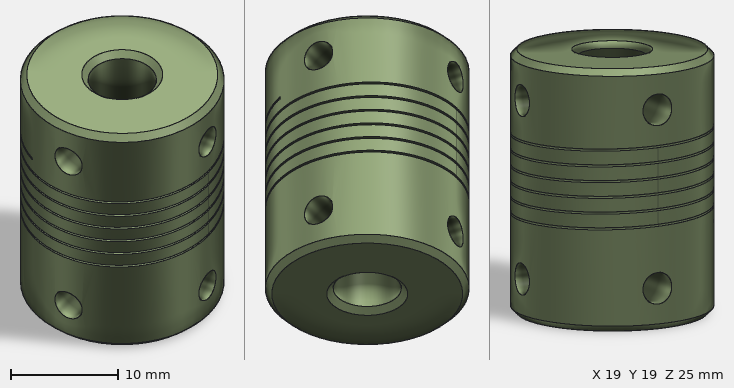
import cadquery as cq

length = 25.0
outer_diameter = 19.0
bore_diameter = 6.35
edge_chamfer = 0.6

screw_diameter = 3.0
screw_end_distance = 4.0
screw_directions = [(0, -1, 0), (1, 0, 0)]

slot_width = 0.2
slot_floor_diameter = 10.0
slot_pitch = 1.5
slot_turns = 6.5
slot_start_height = 8.75
slot_start_angle = 60.0
slot_overcut = 0.25


def make_body():
    """Tube with chamfered outer and bore edges at both ends."""
    tube = cq.Workplane("XY").circle(outer_diameter / 2).circle(bore_diameter / 2).extrude(length)
    return tube.faces("<Z or >Z").edges().chamfer(edge_chamfer)


def make_screw_hole(height, direction):
    """Radial cylinder from the axis out through one side of the wall."""
    return cq.Solid.makeCylinder(
        screw_diameter / 2, outer_diameter, cq.Vector(0, 0, height), cq.Vector(*direction)
    )


def make_helical_slot():
    """Rectangular section swept along a helix, with a cylindrical floor."""
    floor_radius = slot_floor_diameter / 2
    depth = outer_diameter / 2 + slot_overcut - floor_radius
    helix = cq.Wire.makeHelix(slot_pitch, slot_pitch * slot_turns, floor_radius)
    slot = (
        cq.Workplane("XZ")
        .center(floor_radius + depth / 2, 0)
        .rect(depth, slot_width)
        .sweep(cq.Workplane(obj=helix), isFrenet=True)
    )
    return slot.rotate((0, 0, 0), (0, 0, 1), slot_start_angle).translate((0, 0, slot_start_height))


result = make_body()
for hole_height in (screw_end_distance, length - screw_end_distance):
    for hole_direction in screw_directions:
        result = result.cut(cq.Workplane(obj=make_screw_hole(hole_height, hole_direction)))
result = result.cut(make_helical_slot())